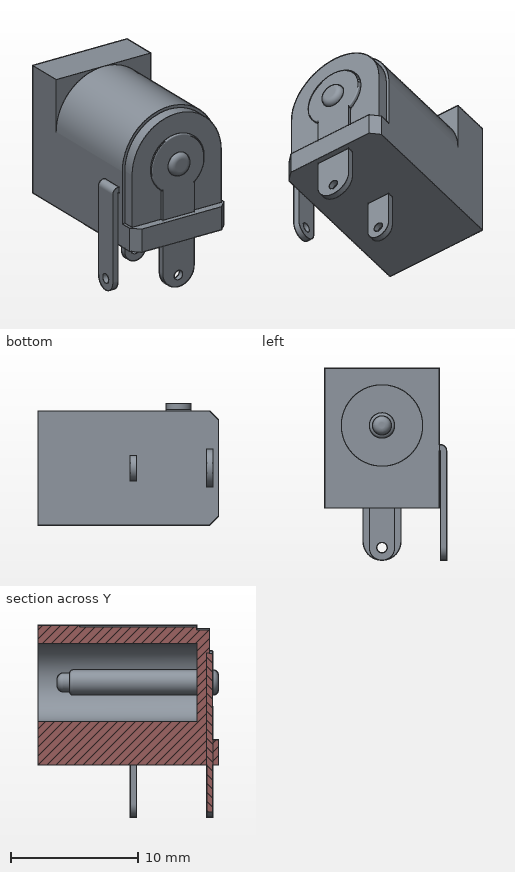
import cadquery as cq

housing_width = 9.0
housing_height = 11.0
flange_length = 3.3
barrel_end = 12.5
rear_end = 13.5
rear_side_inset = 0.25
foot_end = 14.2
foot_height = 2.0
foot_chamfer = foot_end - rear_end

barrel_radius = housing_width / 2
axis_height = housing_height - barrel_radius
bore_diameter = 6.4
bore_depth = barrel_end

pin_diameter = 2.0
pin_tip_diameter = 1.5
pin_tip_start = 1.5
pin_tip_length = 1.0
pin_tip_rounding = 0.5
pin_shoulder_rounding = (pin_diameter - pin_tip_diameter) / 2

sheet = 0.5
leg_length = 4.1
solder_hole_diameter = 0.8
solder_hole_height = 1.0 - leg_length

front_leg_x = 7.25
front_leg_width = 2.0
front_leg_insertion = 1.0

rear_plate_start = rear_end - sheet / 2
rear_plate_end = rear_plate_start + sheet
rear_leg_width = 3.0
rear_disc_radius = 2.5
rear_disc_edge_rounding = 0.1

side_leg_center_x = 11.05
side_leg_width = 2.0
side_leg_top = 5.0
side_leg_gap = 0.09
side_leg_insertion = 1.0
side_leg_outer_y = -housing_width / 2 - side_leg_gap - sheet
side_leg_inner_end_y = -housing_width / 2 + side_leg_insertion


def block(x_start, x_end, width, z_bottom, z_top):
    """Box between two X and two Z positions, centred on Y = 0."""
    size = (x_end - x_start, width, z_top - z_bottom)
    return cq.Workplane("XY").box(*size, centered=(False, True, False)).translate((x_start, 0, z_bottom))


def axial_cylinder(x_start, x_end, radius):
    """Cylinder on the barrel axis."""
    plane = cq.Workplane("YZ", origin=(x_start, 0, axis_height))
    return plane.circle(radius).extrude(x_end - x_start)


def arch(x_start, x_end, radius):
    """Block with a half-round top that is concentric with the barrel axis."""
    base = block(x_start, x_end, 2 * radius, 0, axis_height)
    return base.union(axial_cylinder(x_start, x_end, radius))


def leg_strip(width, top):
    """Strip of sheet in the local XY plane, standing on a round end with a solder hole."""
    radius = width / 2
    end_center = radius - leg_length
    strip = (
        cq.Workplane("XY")
        .moveTo(-radius, top)
        .lineTo(-radius, end_center)
        .threePointArc((0, -leg_length), (radius, end_center))
        .lineTo(radius, top)
        .close()
        .extrude(sheet)
    )
    hole = cq.Workplane("XY").center(0, solder_hole_height).circle(solder_hole_diameter / 2).extrude(sheet)
    return strip.cut(hole)


def cross_leg(x_start, width, top):
    """Leg strip set upright across the housing, its thickness along X."""
    strip = leg_strip(width, top).rotate((0, 0, 0), (1, 0, 0), 90).rotate((0, 0, 0), (0, 0, 1), 90)
    return strip.translate((x_start, 0, 0))


def make_center_pin():
    """Stepped pin with a rounded tip, a rounded shoulder and a domed rivet head at the rear."""
    shoulder_x = pin_tip_start + pin_tip_length
    shank = axial_cylinder(shoulder_x, foot_end, pin_diameter / 2)
    shank = shank.faces("<X").edges().fillet(pin_shoulder_rounding)
    shank = shank.faces(">X").edges().fillet(foot_end - rear_plate_end)
    tip = axial_cylinder(pin_tip_start, shoulder_x, pin_tip_diameter / 2)
    tip = tip.faces("<X").edges().fillet(pin_tip_rounding)
    return shank.union(tip)


def make_front_terminal():
    """Straight leg plugged into the underside of the housing."""
    return cross_leg(front_leg_x, front_leg_width, front_leg_insertion)


def make_rear_terminal(center_pin):
    """Leg with a disc head, held against the rear wall by the pin's rivet head."""
    leg = cross_leg(rear_plate_start, rear_leg_width, axis_height)
    disc = axial_cylinder(rear_plate_start, rear_plate_end, rear_disc_radius)
    disc = disc.faces(">X").edges().fillet(rear_disc_edge_rounding)
    return leg.union(disc).cut(center_pin)


def make_side_terminal():
    """Leg hanging beside the housing, bent over at the top and running into the side wall."""
    leg = leg_strip(side_leg_width, side_leg_top).rotate((0, 0, 0), (1, 0, 0), 90)
    leg = leg.translate((side_leg_center_x, side_leg_outer_y + sheet, 0))
    tab_length = side_leg_inner_end_y - side_leg_outer_y
    tab = cq.Workplane("XY").box(side_leg_width, tab_length, sheet, centered=(True, False, False))
    tab = tab.translate((side_leg_center_x, side_leg_outer_y, side_leg_top - sheet))
    terminal = leg.union(tab)
    return terminal.faces("<Y").edges(">Z").fillet(sheet)


def make_housing(inserts):
    """Housing with its bore and with a fitting recess for every inserted body."""
    flange = block(0, flange_length, housing_width, 0, housing_height)
    barrel = arch(0, barrel_end, barrel_radius)
    rear = arch(barrel_end, rear_end, barrel_radius - rear_side_inset)
    foot = block(barrel_end, foot_end, housing_width, 0, foot_height)
    foot = foot.faces(">X").edges("|Z").chamfer(foot_chamfer)
    housing = flange.union(barrel).union(rear).union(foot)
    housing = housing.cut(axial_cylinder(0, bore_depth, bore_diameter / 2))
    for insert in inserts:
        housing = housing.cut(insert)
    return housing


center_pin = make_center_pin()
front_terminal = make_front_terminal()
rear_terminal = make_rear_terminal(center_pin)
side_terminal = make_side_terminal()
housing = make_housing([center_pin, front_terminal, rear_terminal, side_terminal])

bodies = [housing, center_pin, front_terminal, rear_terminal, side_terminal]
result = cq.Compound.makeCompound([body.solids().val() for body in bodies])